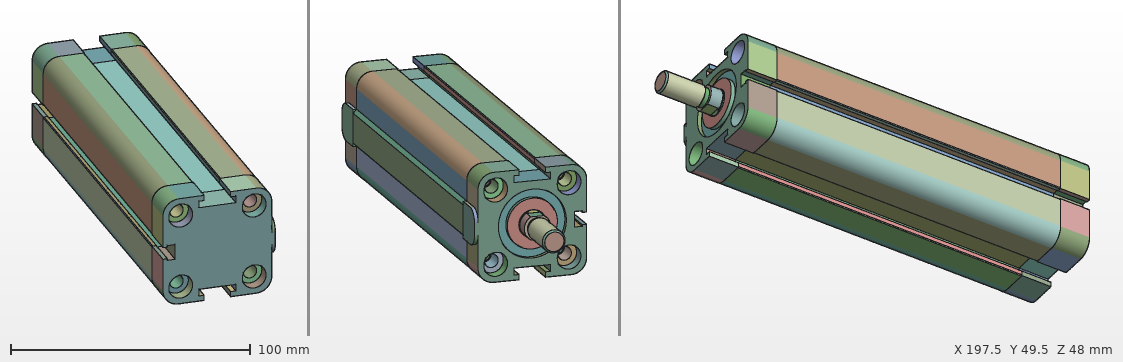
import cadquery as cq


TOTAL_LENGTH = 197.5
ROD_REACH = 28.0
SIDE = 48.0
HALF_SIDE = SIDE / 2
CAP_LENGTH = 14.5
BODY_LENGTH = TOTAL_LENGTH - ROD_REACH
BARREL_LENGTH = BODY_LENGTH - 2 * CAP_LENGTH
CAP_CORNER_RADIUS = 7.0
BARREL_CORNER_RADIUS = 7.1

WIDE_LIP = 2.4
NARROW_LIP = 2.0
SLOT_DEPTH = 5.3
WIDE_MOUTH = 11.7
WIDE_INNER = 16.2
NARROW_MOUTH = 5.3
NARROW_INNER = 6.7
MOUTH_CHAMFER = 0.4

STRIP_WIDTH = 16.2
STRIP_HEIGHT = 1.5
STRIP_END_RADIUS = 5.3

HOLE_OFFSET = 16.2
CAP_HOLE_DIAMETER = 6.0
BARREL_HOLE_DIAMETER = 5.0
COUNTERBORE_DIAMETER = 10.5
COUNTERBORE_DEPTH = 2.8

GROOVE_OUTER_DIAMETER = 30.0
GROOVE_INNER_DIAMETER = 22.1
GROOVE_DEPTH = 2.0

ROD_DIAMETER = 12.0
THREAD_DIAMETER = 10.0
THREAD_LENGTH = 19.2
TIP_DIAMETER = 8.5
NECK_DIAMETER = 8.9
NECK_LENGTH = 2.4
HUB_DIAMETER = 11.7
HUB_END = 0.5
FLAT_WIDTH = 10.0
CUT_HEIGHT = 2.0
FLAT_END = 1.2


def yz_plane(x):
    """Work plane facing +X: its local x is Y and its local y is Z."""
    return cq.Workplane("YZ", origin=(x, 0, 0))


def slot_cutter(x, length, mouth, inner, lip, chamfer):
    """T-slot cutter on the +Z side, with an optional bevel at the mouth."""
    floor = HALF_SIDE - SLOT_DEPTH
    undercut_height = SLOT_DEPTH - lip
    opening = yz_plane(x).center(0, floor + SLOT_DEPTH / 2).rect(mouth, SLOT_DEPTH).extrude(length)
    undercut = yz_plane(x).center(0, floor + undercut_height / 2).rect(inner, undercut_height).extrude(length)
    cutter = opening.union(undercut)
    if chamfer > 0:
        half = mouth / 2
        bevel = yz_plane(x).polyline([
            (-half - chamfer, HALF_SIDE),
            (half + chamfer, HALF_SIDE),
            (half, HALF_SIDE - chamfer),
            (-half, HALF_SIDE - chamfer),
        ]).close().extrude(length)
        cutter = cutter.union(bevel)
    return cutter


def profile_block(x, length, corner_radius, chamfer):
    """Rounded square block with T-slots in its +Z, -Z and -Y sides."""
    block = yz_plane(x).rect(SIDE, SIDE).extrude(length).edges("|X").fillet(corner_radius)
    wide_slot = slot_cutter(x, length, WIDE_MOUTH, WIDE_INNER, WIDE_LIP, chamfer)
    narrow_slot = slot_cutter(x, length, NARROW_MOUTH, NARROW_INNER, NARROW_LIP, chamfer)
    block = block.cut(wide_slot)
    block = block.cut(wide_slot.rotate((0, 0, 0), (1, 0, 0), 180))
    return block.cut(narrow_slot.rotate((0, 0, 0), (1, 0, 0), 90))


def corner_cylinders(x, length, diameter):
    """Four cylinders on the corner screw axes."""
    spacing = 2 * HOLE_OFFSET
    centres = yz_plane(x).rect(spacing, spacing, forConstruction=True).vertices()
    return centres.circle(diameter / 2).extrude(length)


def make_cap(x, outer_edges, face_x, inward):
    """End cap starting at x.

    outer_edges selects the strip edges to round, face_x is the outer face
    and inward is the sign of the X direction from that face into the body.
    """
    cap = profile_block(x, CAP_LENGTH, CAP_CORNER_RADIUS, 0)
    strip = (
        cq.Workplane("XY")
        .box(CAP_LENGTH, STRIP_HEIGHT, STRIP_WIDTH)
        .edges("|Y").edges(outer_edges).fillet(STRIP_END_RADIUS)
        .translate((x + CAP_LENGTH / 2, HALF_SIDE + STRIP_HEIGHT / 2, 0))
    )
    cap = cap.union(strip)
    cap = cap.cut(corner_cylinders(x, CAP_LENGTH, CAP_HOLE_DIAMETER))
    return cap.cut(corner_cylinders(face_x, inward * COUNTERBORE_DEPTH, COUNTERBORE_DIAMETER))


def make_front_cap():
    """Front cap with the ring groove and the hole for the rod."""
    cap = make_cap(0, "<X", 0, 2)
    ring = yz_plane(0).circle(GROOVE_OUTER_DIAMETER / 2).circle(GROOVE_INNER_DIAMETER / 2)
    groove = ring.extrude(GROOVE_DEPTH)
    rod_hole = yz_plane(0).circle(ROD_DIAMETER / 2).extrude(CAP_LENGTH)
    return cap.cut(groove).cut(rod_hole)


def make_rear_cap():
    """Rear cap: as the front cap, turned outwards, without groove and rod hole."""
    return make_cap(BODY_LENGTH - CAP_LENGTH, ">X", BODY_LENGTH, -2)


def make_barrel():
    """Barrel profile with a bevelled strip on the +Y side."""
    barrel = profile_block(CAP_LENGTH, BARREL_LENGTH, BARREL_CORNER_RADIUS, MOUTH_CHAMFER)
    half = STRIP_WIDTH / 2
    strip = yz_plane(CAP_LENGTH).polyline([
        (HALF_SIDE, -half),
        (HALF_SIDE + STRIP_HEIGHT, STRIP_HEIGHT - half),
        (HALF_SIDE + STRIP_HEIGHT, half - STRIP_HEIGHT),
        (HALF_SIDE, half),
    ]).close().extrude(BARREL_LENGTH)
    return barrel.union(strip).cut(corner_cylinders(CAP_LENGTH, BARREL_LENGTH, BARREL_HOLE_DIAMETER))


def make_rod():
    """Rod with a threaded tip, a neck and a hub with two wrench flats."""
    tip = -ROD_REACH
    tip_chamfer = (THREAD_DIAMETER - TIP_DIAMETER) / 2
    neck_start = tip + THREAD_LENGTH
    hub_start = neck_start + NECK_LENGTH
    hub_step = (ROD_DIAMETER - HUB_DIAMETER) / 2
    rod = cq.Workplane("XZ").polyline([
        (tip, 0),
        (tip, TIP_DIAMETER / 2),
        (tip + tip_chamfer, THREAD_DIAMETER / 2),
        (neck_start, THREAD_DIAMETER / 2),
        (neck_start, NECK_DIAMETER / 2),
        (hub_start, NECK_DIAMETER / 2),
        (hub_start, HUB_DIAMETER / 2),
        (-HUB_END - hub_step, HUB_DIAMETER / 2),
        (-HUB_END, ROD_DIAMETER / 2),
        (CAP_LENGTH, ROD_DIAMETER / 2),
        (CAP_LENGTH, 0),
    ]).close().revolve(360, (0, 0, 0), (1, 0, 0))

    flat_height = FLAT_WIDTH / 2
    flat = cq.Workplane("XZ").polyline([
        (hub_start, flat_height),
        (-FLAT_END, flat_height),
        (-FLAT_END + CUT_HEIGHT, flat_height + CUT_HEIGHT),
        (hub_start, flat_height + CUT_HEIGHT),
    ]).close().extrude(ROD_DIAMETER / 2, both=True)
    return rod.cut(flat).cut(flat.mirror("XY"))


front_cap = make_front_cap()
barrel = make_barrel()
rear_cap = make_rear_cap()
rod = make_rod()

result = cq.Compound.makeCompound([front_cap.val(), barrel.val(), rear_cap.val(), rod.val()])